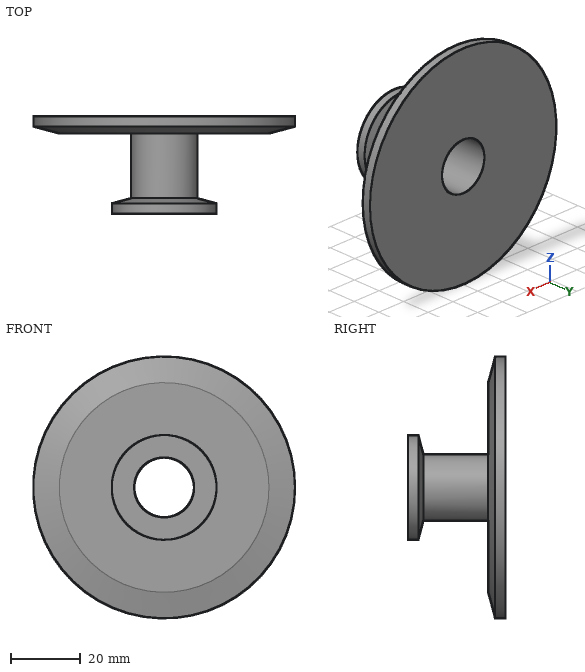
import cadquery as cq
import math

total_length = 28.0
taper_angle = math.radians(15)

large_radius = 75 / 2
large_face_radius = 60 / 2
large_rim_width = 3

small_radius = 30 / 2
small_rim_width = 3

tube_radius = 19.1 / 2
bore_radius = 17.0 / 2

entry_radius = 17.2 / 2
entry_depth = 2.55

front_y = -total_length / 2
back_y = total_length / 2


def taper_width(outer_radius, inner_radius):
    """Axial width of a flange taper between two radii."""
    return (outer_radius - inner_radius) * math.tan(taper_angle)


small_rim_y = front_y + small_rim_width
small_taper_y = small_rim_y + taper_width(small_radius, tube_radius)
large_rim_y = back_y - large_rim_width
large_face_y = large_rim_y - taper_width(large_radius, large_face_radius)

half_section = (
    cq.Workplane("XY")
    .moveTo(entry_radius, front_y)
    .lineTo(small_radius, front_y)
    .lineTo(small_radius, small_rim_y)
    .lineTo(tube_radius, small_taper_y)
    .lineTo(tube_radius, large_face_y)
    .lineTo(large_face_radius, large_face_y)
    .lineTo(large_radius, large_rim_y)
    .lineTo(large_radius, back_y)
    .lineTo(bore_radius, back_y)
    .lineTo(bore_radius, front_y + entry_depth)
    .lineTo(entry_radius, front_y + entry_depth)
    .close()
)

result = half_section.revolve(360, (0, 0, 0), (0, 1, 0))